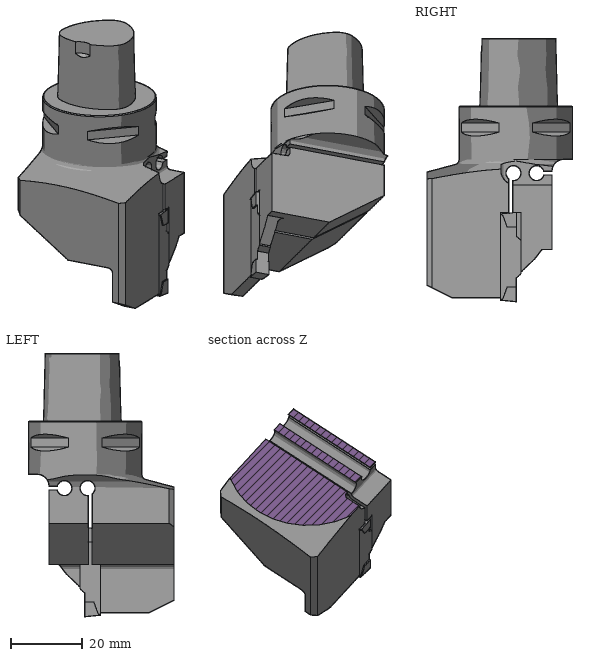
import cadquery as cq
import math


OVERALL_HEIGHT = 74

SHANK_LENGTH = 18.95
LOBE_COUNT = 3
LOBE_OFFSET = 5.9
LOBE_RADIUS = 5.85
SHANK_TAPER = 1 / 40

MARK_RADIUS = 3.3
MARK_CENTRE_Y = -11.9
MARK_DEPTH = 3.4
DRILL_POINT_ANGLE = 118

FLANGE_RADIUS = 32.0 / 2
FLANGE_HEIGHT = 15.0
FLANGE_CHAMFER = 0.3
NOTCH_COUNT = 4
NOTCH_CENTRE_Z = -6.1
NOTCH_FLOOR_RADIUS = 14.1
NOTCH_FLOOR_HEIGHT = 2.5
NOTCH_MOUTH_HEIGHT = 4.7
NOTCH_LENGTH = 2 * math.sqrt(FLANGE_RADIUS**2 - NOTCH_FLOOR_RADIUS**2)

SHOULDER_ANGLE = 15
SHOULDER_DROP = 1.1
SHOULDER_FILLET = 1.4
SHOULDER_REACH = 37

HEAD_TOP = -FLANGE_HEIGHT
HEAD_LEFT = -12.95
HEAD_RIGHT = 21.6
HEAD_FRONT = -25.0
HEAD_BACK = 10.2
HEAD_BOTTOM = -40.4
LEFT_FLARE = 4.0
BACK_FLARE = 3.25
SLOPE_TOP = -28.8
SLOPE_END_X = 3.9
CORNER_CHAMFER = 1.4

BLADE_LEFT = 18.2
BLADE_BOTTOM = -53.95
BLADE_FILLET = 1.4
BLADE_BEVEL_Y = 7.1
BLADE_BEVEL_Z = 3.55
JAW_START_Y = 7.3
JAW_BEND = (5.3, -43.0)
JAW_TIP_Z = -46.7

FLEX_HOLE_RADIUS = 2.1
FLEX_HOLE_Z = -18.9
FLEX_HOLES_Y = (5.85, -0.7)
FLEX_SLOT = 1.0
CLAMP_SLOT_Y = -1.4

POCKET_LEFT = 16.05
POCKET_FRONT = -4.2
POCKET_FLOOR = -22.2
POCKET_FLOOR_FILLET = 4.15
POCKET_WALL_FILLET = 1.1

INSERT_LENGTH = 25.15
INSERT_BOTTOM = SHANK_LENGTH - OVERALL_HEIGHT
INSERT_TOP = INSERT_BOTTOM + INSERT_LENGTH
INSERT_MIDDLE = INSERT_BOTTOM + INSERT_LENGTH / 2
INSERT_FRONT = -4.4
INSERT_BACK = 1.5
RAKE_Y = 0.15
RAKE_LENGTH = 6.65
RAKE_RAMP = 1.25
END_RELIEF = 0.45
INSERT_RIGHT = 22.05
EDGE_WIDTH = 4.0
SIDE_RELIEF = 0.11
EDGE_BLOCK_LENGTH = 4.15
EDGE_BLOCK_DEPTH = 2.6
EDGE_BLOCK_TIP_DEPTH = 3.8
EDGE_BLOCK_TIP = 0.9


def box(x_range, y_range, z_range):
    """Box between the given limits."""
    sizes = [limits[1] - limits[0] for limits in (x_range, y_range, z_range)]
    corner = (x_range[0], y_range[0], z_range[0])
    return cq.Workplane("XY").box(*sizes, centered=False).translate(corner)


def lobed_section(lobe_radius, z):
    """Rounded triangle of constant width with one lobe towards +Y.

    Small arcs round the lobes, and the flat side across from each lobe is a
    large arc about that lobe's centre.
    """
    def point(lobe_angle, radius, direction):
        x = LOBE_OFFSET * math.cos(lobe_angle) + radius * math.cos(direction)
        y = LOBE_OFFSET * math.sin(lobe_angle) + radius * math.sin(direction)
        return cq.Vector(x, y, z)

    side_radius = lobe_radius + 2 * LOBE_OFFSET * math.sin(math.pi / LOBE_COUNT)
    spacing = 2 * math.pi / LOBE_COUNT
    half_arc = spacing / 4
    edges = []
    for index in range(LOBE_COUNT):
        lobe = math.pi / 2 + index * spacing
        lobe_start = point(lobe, lobe_radius, lobe - half_arc)
        lobe_tip = point(lobe, lobe_radius, lobe)
        lobe_end = point(lobe, lobe_radius, lobe + half_arc)
        edges.append(cq.Edge.makeThreePointArc(lobe_start, lobe_tip, lobe_end))

        next_lobe = lobe + spacing
        opposite_lobe = next_lobe + spacing
        side_middle = point(opposite_lobe, side_radius, opposite_lobe + math.pi)
        next_start = point(next_lobe, lobe_radius, next_lobe - half_arc)
        edges.append(cq.Edge.makeThreePointArc(lobe_end, side_middle, next_start))
    return cq.Wire.assembleEdges(edges)


def make_shank():
    top_radius = LOBE_RADIUS - SHANK_TAPER * SHANK_LENGTH
    sections = [lobed_section(LOBE_RADIUS, 0), lobed_section(top_radius, SHANK_LENGTH)]
    shank = cq.Workplane(cq.Solid.makeLoft(sections, True))

    point_depth = MARK_RADIUS / math.tan(math.radians(DRILL_POINT_ANGLE / 2))
    floor = SHANK_LENGTH - MARK_DEPTH
    drill = (
        cq.Workplane("XZ")
        .moveTo(0, floor - point_depth)
        .lineTo(MARK_RADIUS, floor)
        .lineTo(MARK_RADIUS, SHANK_LENGTH + 0.75)
        .lineTo(0, SHANK_LENGTH + 0.75)
        .close()
        .revolve(360, (0, 0), (0, 1))
        .translate((0, MARK_CENTRE_Y, 0))
    )
    return shank.cut(drill)


def make_flange():
    flange = (
        cq.Workplane("XY")
        .circle(FLANGE_RADIUS)
        .extrude(-FLANGE_HEIGHT)
        .faces(">Z")
        .chamfer(FLANGE_CHAMFER)
    )
    half_floor = NOTCH_FLOOR_HEIGHT / 2
    half_mouth = NOTCH_MOUTH_HEIGHT / 2
    notch = (
        cq.Workplane("XZ")
        .polyline([
            (NOTCH_FLOOR_RADIUS, NOTCH_CENTRE_Z - half_floor),
            (FLANGE_RADIUS, NOTCH_CENTRE_Z - half_mouth),
            (FLANGE_RADIUS, NOTCH_CENTRE_Z + half_mouth),
            (NOTCH_FLOOR_RADIUS, NOTCH_CENTRE_Z + half_floor),
        ])
        .close()
        .extrude(NOTCH_LENGTH / 2, both=True)
    )
    spacing = 360 / NOTCH_COUNT
    for index in range(NOTCH_COUNT):
        angle = spacing * (index + 0.5)
        flange = flange.cut(notch.rotate((0, 0, 0), (0, 0, 1), angle))
    return flange


def make_shoulder():
    """Round stock of the head: a cone that meets the flange in a fillet."""
    slope = math.radians(SHOULDER_ANGLE)
    corner_z = HEAD_TOP - SHOULDER_DROP
    tangent = SHOULDER_FILLET * math.tan((math.pi / 2 - slope) / 2)
    centre_x = FLANGE_RADIUS + SHOULDER_FILLET
    centre_z = corner_z + tangent
    middle = math.radians(180 + (90 - SHOULDER_ANGLE) / 2)
    arc_middle = (
        centre_x + SHOULDER_FILLET * math.cos(middle),
        centre_z + SHOULDER_FILLET * math.sin(middle),
    )
    arc_end = (
        FLANGE_RADIUS + tangent * math.cos(slope),
        corner_z - tangent * math.sin(slope),
    )
    rim_z = corner_z - (SHOULDER_REACH - FLANGE_RADIUS) * math.tan(slope)
    return (
        cq.Workplane("XZ")
        .moveTo(0, HEAD_TOP)
        .lineTo(FLANGE_RADIUS, HEAD_TOP)
        .lineTo(FLANGE_RADIUS, centre_z)
        .threePointArc(arc_middle, arc_end)
        .lineTo(SHOULDER_REACH, rim_z)
        .lineTo(SHOULDER_REACH, INSERT_BOTTOM)
        .lineTo(0, INSERT_BOTTOM)
        .close()
        .revolve(360, (0, 0), (0, 1))
    )


def head_front_outline():
    """Outline of head and blade in X and Z, drawn out along Y."""
    return (
        cq.Workplane("XZ")
        .moveTo(HEAD_RIGHT, HEAD_TOP)
        .lineTo(HEAD_LEFT - LEFT_FLARE, HEAD_TOP)
        .radiusArc((HEAD_LEFT, HEAD_TOP - LEFT_FLARE), LEFT_FLARE)
        .lineTo(HEAD_LEFT, SLOPE_TOP)
        .lineTo(SLOPE_END_X, HEAD_BOTTOM)
        .lineTo(BLADE_LEFT - BLADE_FILLET, HEAD_BOTTOM)
        .radiusArc((BLADE_LEFT, HEAD_BOTTOM - BLADE_FILLET), BLADE_FILLET)
        .lineTo(BLADE_LEFT, BLADE_BOTTOM)
        .lineTo(HEAD_RIGHT, BLADE_BOTTOM)
        .close()
        .extrude(SHOULDER_REACH, both=True)
    )


def head_side_outline():
    """Outline of head and blade in Y and Z, drawn out along X."""
    return (
        cq.Workplane("YZ")
        .moveTo(HEAD_FRONT, HEAD_TOP)
        .lineTo(HEAD_BACK + BACK_FLARE, HEAD_TOP)
        .radiusArc((HEAD_BACK, HEAD_TOP - BACK_FLARE), -BACK_FLARE)
        .lineTo(HEAD_BACK, HEAD_BOTTOM)
        .lineTo(JAW_START_Y, HEAD_BOTTOM)
        .lineTo(*JAW_BEND)
        .lineTo(INSERT_BACK, JAW_TIP_Z)
        .lineTo(INSERT_FRONT, JAW_TIP_Z)
        .lineTo(INSERT_FRONT, BLADE_BOTTOM)
        .lineTo(HEAD_FRONT + BLADE_BEVEL_Y, BLADE_BOTTOM)
        .lineTo(HEAD_FRONT, BLADE_BOTTOM + BLADE_BEVEL_Z)
        .close()
        .extrude(SHOULDER_REACH, both=True)
    )


def head_corner_limits():
    """Tall block that bevels the two front corners of the head."""
    heights = (INSERT_BOTTOM, HEAD_TOP)
    block = box((-SHOULDER_REACH, HEAD_RIGHT), (HEAD_FRONT, SHOULDER_REACH), heights)
    block = block.edges("|Z and >X and <Y").chamfer(CORNER_CHAMFER)
    left_bevel = (
        cq.Workplane("XY")
        .polyline([
            (HEAD_LEFT + CORNER_CHAMFER, HEAD_FRONT),
            (HEAD_LEFT - LEFT_FLARE, HEAD_FRONT),
            (HEAD_LEFT - LEFT_FLARE, HEAD_FRONT + CORNER_CHAMFER + LEFT_FLARE),
        ])
        .close()
        .extrude(INSERT_BOTTOM)
    )
    return block.cut(left_bevel)


def make_flex_cuts():
    """Two cross holes, a slot out of the back and a slot down to the insert."""
    holes = (
        cq.Workplane("YZ")
        .pushPoints([(y, FLEX_HOLE_Z) for y in FLEX_HOLES_Y])
        .circle(FLEX_HOLE_RADIUS)
        .extrude(SHOULDER_REACH, both=True)
    )
    across = (-SHOULDER_REACH, SHOULDER_REACH)
    half_slot = FLEX_SLOT / 2
    back_slot = box(
        across,
        (FLEX_HOLES_Y[0], HEAD_BACK + BACK_FLARE),
        (FLEX_HOLE_Z - half_slot, FLEX_HOLE_Z + half_slot),
    )
    clamp_slot = box(
        across,
        (CLAMP_SLOT_Y - half_slot, CLAMP_SLOT_Y + half_slot),
        (INSERT_MIDDLE, FLEX_HOLE_Z),
    )
    return holes.union(back_slot).union(clamp_slot)


def make_pocket():
    bend = (POCKET_FRONT, POCKET_FLOOR + POCKET_FLOOR_FILLET)
    return (
        cq.Workplane("YZ", origin=(POCKET_LEFT, 0, 0))
        .moveTo(FLANGE_RADIUS, HEAD_TOP)
        .lineTo(POCKET_FRONT, HEAD_TOP)
        .lineTo(*bend)
        .radiusArc((POCKET_FRONT + POCKET_FLOOR_FILLET, POCKET_FLOOR), -POCKET_FLOOR_FILLET)
        .lineTo(FLANGE_RADIUS, POCKET_FLOOR)
        .close()
        .extrude(SHOULDER_REACH)
        .faces("<X")
        .edges("(not >Z) and (not >Y)")
        .fillet(POCKET_WALL_FILLET)
    )


def make_seat():
    """Seat of the insert, open to the right, and clearance on the left of the blade."""
    depth = (INSERT_FRONT, INSERT_BACK)
    seat = box((BLADE_LEFT, SHOULDER_REACH), depth, (INSERT_BOTTOM, INSERT_TOP))
    clearance = box((BLADE_LEFT - BLADE_FILLET, BLADE_LEFT), depth, (INSERT_BOTTOM, HEAD_BOTTOM))
    return seat.union(clearance)


def make_edge_block():
    """Wide block with the lower cutting edge, narrowing towards the front."""
    side = (
        cq.Workplane("YZ")
        .polyline([
            (RAKE_Y, INSERT_BOTTOM),
            (RAKE_Y, INSERT_BOTTOM + EDGE_BLOCK_LENGTH),
            (RAKE_Y - EDGE_BLOCK_DEPTH, INSERT_BOTTOM + EDGE_BLOCK_LENGTH),
            (RAKE_Y - EDGE_BLOCK_TIP_DEPTH, INSERT_BOTTOM + EDGE_BLOCK_TIP),
            (INSERT_FRONT, INSERT_BOTTOM + END_RELIEF),
        ])
        .close()
        .extrude(SHOULDER_REACH)
    )
    left = INSERT_RIGHT - EDGE_WIDTH
    width_limits = (
        cq.Workplane("XY", origin=(0, 0, INSERT_BOTTOM))
        .polyline([
            (left, RAKE_Y),
            (INSERT_RIGHT, RAKE_Y),
            (INSERT_RIGHT - SIDE_RELIEF, INSERT_FRONT),
            (left + SIDE_RELIEF, INSERT_FRONT),
        ])
        .close()
        .extrude(EDGE_BLOCK_LENGTH)
    )
    return side.intersect(width_limits)


def make_insert():
    rake_end = INSERT_BOTTOM + RAKE_LENGTH
    lower_half = (
        cq.Workplane("YZ", origin=(BLADE_LEFT, 0, 0))
        .polyline([
            (INSERT_FRONT, INSERT_MIDDLE),
            (INSERT_FRONT, INSERT_BOTTOM + END_RELIEF),
            (RAKE_Y, INSERT_BOTTOM),
            (RAKE_Y, rake_end),
            (INSERT_BACK, rake_end + RAKE_RAMP),
            (INSERT_BACK, INSERT_MIDDLE),
        ])
        .close()
        .extrude(HEAD_RIGHT - BLADE_LEFT)
        .union(make_edge_block())
    )
    upper_half = lower_half.mirror("XY", (0, 0, INSERT_MIDDLE))
    return lower_half.union(upper_half)


def make_holder(insert):
    head = (
        make_shoulder()
        .intersect(head_front_outline())
        .intersect(head_side_outline())
        .intersect(head_corner_limits())
        .cut(make_pocket())
        .cut(make_flex_cuts())
        .cut(make_seat())
        .cut(insert)
    )
    return make_flange().union(make_shank()).union(head)


insert = make_insert()
holder = make_holder(insert)

result = cq.Compound.makeCompound([holder.solids().val(), insert.solids().val()])